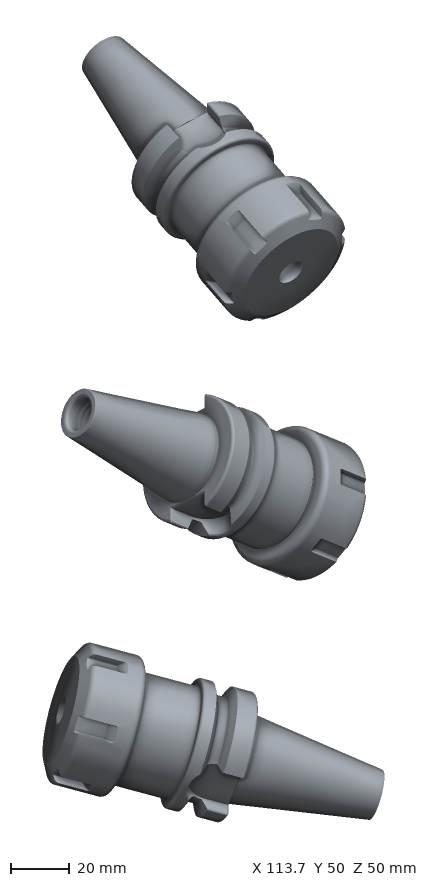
import cadquery as cq
import math


total_length = 113.7

taper_length = 48.5
taper_large_radius = 15.9
taper_tip_round = 0.3
taper_slope = 7 / 48
taper_small_radius = taper_large_radius - taper_length * taper_slope

collar_radius = 16.0
collar_step_start = 49.5
collar_start = 49.8

flange_start = 50.4
flange_end = 70.3
flange_radius = 23.1
flange_edge_round = 1.0
groove_start = 58.0
groove_end = 65.6
groove_floor_radius = 18.9
groove_side_run = 2.2
groove_root_round = 0.6
flange_root_round = 0.7

body_radius = 20.0
body_end = 90.7
body_end_chamfer = 0.7
neck_radius = body_radius - body_end_chamfer

drive_slot_width = 16.4
drive_slot_floor = 16.1
drive_slot_end = 67.6
drive_slot_chamfer = 0.5

bore_radius = 4.83
pilot_radius = 6.0
pilot_mouth_round = 1.1
pilot_depth = 5.1
step_radius = 5.3
step_depth = 6.8

nut_start = 91.2
nut_radius = 25.0
nut_back_round = 2.2
nut_front_round = 1.9
nut_cone_angle = 60.0
nut_face_radius = 19.3
nut_bore_radius = 15.9
nut_cone_length = (nut_radius - nut_face_radius) / math.tan(math.radians(nut_cone_angle))

wrench_slot_count = 6
wrench_slot_width = 6.1
wrench_slot_floor = 22.2
wrench_slot_overshoot = 1.1
wrench_slot_round = 0.6
ramp_slope = 3.1 / (nut_radius - wrench_slot_floor)
long_slot_floor_start = 99.0
short_slot_floor_start = 101.2
long_slot_angles = (-30, 30)


margin = 0.1


def revolve_about_x(profile):
    """Turn a closed half-profile drawn in XY about the X axis."""
    return profile.close().revolve(360, (0, 0, 0), (1, 0, 0))


def edges_between(x_min, x_max, z_min, z_max):
    """Select edges lying wholly inside a range of X and Z, at any Y."""
    return cq.selectors.BoxSelector(
        (x_min - margin, -nut_radius - margin, z_min - margin),
        (x_max + margin, nut_radius + margin, z_max + margin),
        boundingbox=True,
    )


def ring_edges(x):
    """Select the circular edges at one place along the axis."""
    return edges_between(x, x, -nut_radius, nut_radius)


def holder_blank():
    edge = flange_edge_round
    root = flange_root_round
    profile = (
        cq.Workplane("XY")
        .moveTo(0, 0)
        .lineTo(0, taper_small_radius)
        .lineTo(taper_length, taper_large_radius)
        .lineTo(collar_step_start, taper_large_radius)
        .lineTo(collar_start, collar_radius)
        .lineTo(flange_start, collar_radius)
        .lineTo(flange_start, flange_radius - edge)
        .radiusArc((flange_start + edge, flange_radius), edge)
        .lineTo(groove_start, flange_radius)
        .lineTo(groove_start + groove_side_run, groove_floor_radius)
        .lineTo(groove_end - groove_side_run, groove_floor_radius)
        .lineTo(groove_end, flange_radius)
        .lineTo(flange_end - edge, flange_radius)
        .radiusArc((flange_end, flange_radius - edge), edge)
        .lineTo(flange_end, body_radius + root)
        .radiusArc((flange_end + root, body_radius), -root)
        .lineTo(body_end - body_end_chamfer, body_radius)
        .lineTo(body_end, neck_radius)
        .lineTo(nut_start, neck_radius)
        .lineTo(nut_start, nut_bore_radius)
        .lineTo(total_length, nut_bore_radius)
        .lineTo(total_length, 0)
    )
    groove_corners = ring_edges(groove_start + groove_side_run) + ring_edges(groove_end - groove_side_run)
    return (
        revolve_about_x(profile)
        .edges(ring_edges(0)).fillet(taper_tip_round)
        .edges(groove_corners).fillet(groove_root_round)
    )


def holder_bore():
    mouth = pilot_mouth_round
    profile = (
        cq.Workplane("XY")
        .moveTo(0, 0)
        .lineTo(0, pilot_radius + mouth)
        .radiusArc((mouth, pilot_radius), -mouth)
        .lineTo(pilot_depth, pilot_radius)
        .lineTo(pilot_depth + pilot_radius - step_radius, step_radius)
        .lineTo(step_depth, step_radius)
        .lineTo(step_depth + step_radius - bore_radius, bore_radius)
        .lineTo(total_length, bore_radius)
        .lineTo(total_length, 0)
    )
    return revolve_about_x(profile)


def drive_slot(side):
    """Round-ended slot in the flange, on the +Z side (1) or the -Z side (-1)."""
    half_width = drive_slot_width / 2
    round_centre = drive_slot_end - half_width
    return (
        cq.Workplane("XY", origin=(0, 0, side * drive_slot_floor))
        .moveTo(flange_start, -half_width)
        .lineTo(round_centre, -half_width)
        .threePointArc((drive_slot_end, 0), (round_centre, half_width))
        .lineTo(flange_start, half_width)
        .close()
        .extrude(side * flange_radius)
    )


def drive_slot_mouth(side):
    """Bevel where the slot's walls and floor meet the front face of the flange."""
    height = flange_radius
    return (
        cq.Workplane("YZ", origin=(flange_start, 0, side * (drive_slot_floor + height / 2)))
        .rect(drive_slot_width + 2 * drive_slot_chamfer, height + 2 * drive_slot_chamfer)
        .extrude(drive_slot_chamfer, taper=45)
    )


def drive_slot_rim(side):
    """Select the slot's edges on the outside of the flange."""
    lowest_rim = math.sqrt(flange_radius**2 - (drive_slot_width / 2)**2)
    z_min, z_max = sorted((side * lowest_rim, side * flange_radius))
    return edges_between(flange_start + flange_edge_round, drive_slot_end, z_min, z_max)


def make_holder():
    holder = holder_blank().cut(holder_bore())
    for side in (1, -1):
        holder = holder.cut(drive_slot(side))
        holder = holder.edges(drive_slot_rim(side)).chamfer(drive_slot_chamfer)
        holder = holder.cut(drive_slot_mouth(side))
    return holder


def nut_blank():
    back = nut_back_round
    profile = (
        cq.Workplane("XY")
        .moveTo(nut_start, nut_bore_radius)
        .lineTo(nut_start, nut_radius - back)
        .radiusArc((nut_start + back, nut_radius), back)
        .lineTo(total_length - nut_cone_length, nut_radius)
        .lineTo(total_length, nut_face_radius)
        .lineTo(total_length, nut_bore_radius)
    )
    front_corner = ring_edges(total_length - nut_cone_length)
    return revolve_about_x(profile).edges(front_corner).fillet(nut_front_round)


def wrench_slot(floor_start, angle):
    """Slot open at the nut face, ramped at its back end, at an angle from +Z about X."""
    top = nut_radius + wrench_slot_overshoot
    ramp_top = floor_start - (top - wrench_slot_floor) * ramp_slope
    sharp_edges = "(|Y) or (>Z) or (>X)"
    slot = (
        cq.Workplane("XZ")
        .moveTo(floor_start, wrench_slot_floor)
        .lineTo(total_length, wrench_slot_floor)
        .lineTo(total_length, top)
        .lineTo(ramp_top, top)
        .close()
        .extrude(wrench_slot_width / 2, both=True)
        .edges(f"not ({sharp_edges})").fillet(wrench_slot_round)
    )
    return slot.rotate((0, 0, 0), (1, 0, 0), angle)


def make_nut():
    nut = nut_blank()
    pitch = 360 // wrench_slot_count
    for angle in range(-180 + pitch // 2, 180, pitch):
        is_long = angle in long_slot_angles
        floor_start = long_slot_floor_start if is_long else short_slot_floor_start
        nut = nut.cut(wrench_slot(floor_start, angle))
    return nut


holder = make_holder()
nut = make_nut()

result = cq.Compound.makeCompound([holder.val(), nut.val()])